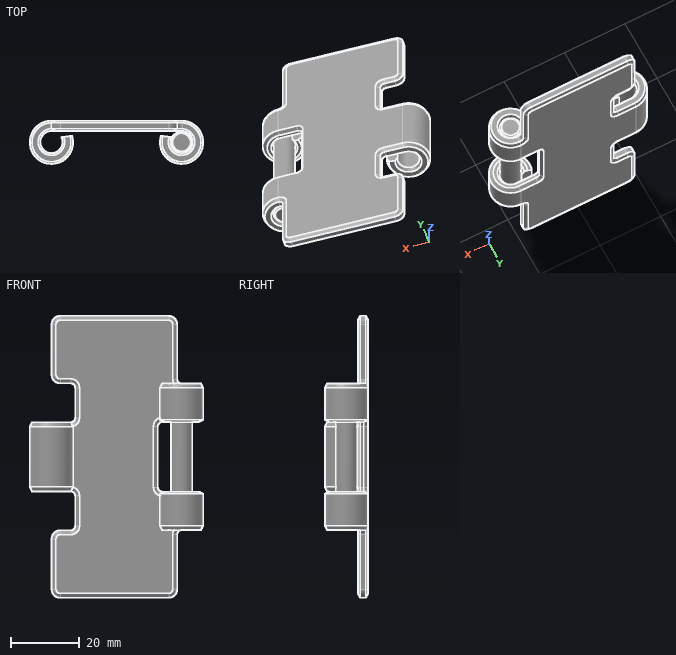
import cadquery as cq
import math

HEIGHT = 82.55
OVERALL_WIDTH = 50.8
CURL_RADIUS = 6.35
THICKNESS = 3.05
FRONT_Y = CURL_RADIUS - THICKNESS
AXIS_X = OVERALL_WIDTH / 2 - CURL_RADIUS

BORE_RADIUS = 3.2
BORE_Y = FRONT_Y - BORE_RADIUS

LEFT_EDGE_X = -AXIS_X
INNER_FILLET = 1.2
OUTER_FILLET = 2.6
RIGHT_EDGE_X = AXIS_X - INNER_FILLET
NOTCH_X = 12.1
NOTCH_Z = 21.5
SPLIT_Z = 10.15

TAIL_END_AXIS_Y = 1.15
TAIL_END_OUTER_Y = 2.0

EDGE_CHAMFER = (1.3, 0.7)
SLOT_BACK_CHAMFER = EDGE_CHAMFER[::-1]

PIN_RADIUS = BORE_RADIUS - BORE_Y
PIN_LENGTH = 41.6
PIN_CHAMFER = 0.5

TAB_EXCESS = 4.1


def facing_plane(y, normal_y):
    """Plane at the given Y with X across, whose extrusions run along normal_y."""
    return cq.Workplane(cq.Plane(origin=(0, y, 0), xDir=(1, 0, 0), normal=(0, normal_y, 0)))


def round_corners(sketch, corners, radius):
    """Fillet the sketch vertices at the given corners."""
    for x, z in corners:
        nearest = cq.selectors.NearestToPointSelector((x, z, 0))
        sketch = sketch.reset().vertices(nearest).fillet(radius)
    return sketch.reset()


def mirrored(points):
    """The points followed by their mirror images in Z, in reverse order."""
    return points + [(x, -z) for x, z in reversed(points)]


def leaf_outline():
    """Outline of the flat leaf, with tabs that run past both tangent lines."""
    top_z = HEIGHT / 2
    tab_x = AXIS_X + TAB_EXCESS
    left_tab = (-tab_x, SPLIT_Z)
    notch_inner = [(-NOTCH_X, SPLIT_Z), (-NOTCH_X, NOTCH_Z)]
    notch_outer = (LEFT_EDGE_X, NOTCH_Z)
    top = [(LEFT_EDGE_X, top_z), (RIGHT_EDGE_X, top_z)]
    right_inner = (RIGHT_EDGE_X, NOTCH_Z)
    right_tab = (tab_x, NOTCH_Z)

    points = mirrored([left_tab, *notch_inner, notch_outer, *top, right_inner, right_tab])
    sketch = cq.Sketch().polygon(points + points[:1])
    sketch = round_corners(sketch, mirrored([notch_outer, *top]), OUTER_FILLET)
    return round_corners(sketch, mirrored([*notch_inner, right_inner]), INNER_FILLET)


def slot_outline():
    """Outline of the slot between the two right-hand knuckles."""
    slot_end_x = AXIS_X + TAB_EXCESS
    inner = (NOTCH_X, SPLIT_Z)
    points = mirrored([inner, (slot_end_x, SPLIT_Z)])
    sketch = cq.Sketch().polygon(points + points[:1])
    return round_corners(sketch, mirrored([inner]), INNER_FILLET)


def straight_and_sloped(outline, chamfers, slope_sign):
    """Solid through the leaf thickness whose walls slope near both faces.

    chamfers holds (run, depth) for the front and the back face. A slope_sign of
    +1 narrows the solid towards the faces, -1 widens it.
    """
    (front_run, front_depth), (back_run, back_depth) = chamfers
    front_y = FRONT_Y + front_depth
    back_y = CURL_RADIUS - back_depth
    front_taper = slope_sign * math.degrees(math.atan2(front_run, front_depth))
    back_taper = slope_sign * math.degrees(math.atan2(back_run, back_depth))
    middle = facing_plane(back_y, -1).placeSketch(outline).extrude(back_y - front_y)
    front = facing_plane(front_y, -1).placeSketch(outline).extrude(front_depth, taper=front_taper)
    back = facing_plane(back_y, 1).placeSketch(outline).extrude(back_depth, taper=back_taper)
    return middle.union(front).union(back)


def flat_leaf():
    """The flat sheet, trimmed where the curls begin."""
    sheet = straight_and_sloped(leaf_outline(), (EDGE_CHAMFER, EDGE_CHAMFER), 1)
    slot = straight_and_sloped(slot_outline(), (EDGE_CHAMFER, SLOT_BACK_CHAMFER), -1)
    trim = cq.Workplane().box(2 * AXIS_X, 2 * CURL_RADIUS, HEIGHT)
    return sheet.cut(slot).intersect(trim)


def turned(side, axis_y, profile):
    """Solid of revolution about a hinge axis from (radius, z) points."""
    axis = cq.Workplane("XZ", origin=(side * AXIS_X, axis_y, 0))
    return axis.polyline(profile).close().revolve(360, (0, 0, 0), (0, 1, 0))


def flared_bore(side, low_z, high_z):
    """Cutter for the bore of a curl, widened at both ends."""
    run, depth = EDGE_CHAMFER
    return turned(side, BORE_Y, [
        (0, low_z), (BORE_RADIUS + depth, low_z), (BORE_RADIUS, low_z + run),
        (BORE_RADIUS, high_z - run), (BORE_RADIUS + depth, high_z), (0, high_z),
    ])


def curl_opening(side):
    """Cutter for the gap between the curl tail and the tangent line of the leaf."""
    axis_x = side * AXIS_X
    inner_x = side * (AXIS_X - CURL_RADIUS)
    corners = [
        (axis_x, TAIL_END_AXIS_Y), (inner_x, TAIL_END_OUTER_Y),
        (inner_x, CURL_RADIUS), (axis_x, CURL_RADIUS),
    ]
    return cq.Workplane("XY").polyline(corners).close().extrude(HEIGHT / 2, both=True)


def curl(side, low_z, high_z, low_chamfer, high_chamfer):
    """Rolled knuckle on the given side (-1 left, +1 right) between two heights.

    The two chamfers are those of its lower and upper outer edges.
    """
    low_run, low_depth = low_chamfer
    high_run, high_depth = high_chamfer
    barrel = turned(side, 0, [
        (0, low_z), (CURL_RADIUS - low_depth, low_z), (CURL_RADIUS, low_z + low_run),
        (CURL_RADIUS, high_z - high_run), (CURL_RADIUS - high_depth, high_z), (0, high_z),
    ])
    return barrel.cut(flared_bore(side, low_z, high_z)).cut(curl_opening(side))


def make_leaf():
    """Sheet with one knuckle rolled on the left and two on the right."""
    leaf = flat_leaf()
    leaf = leaf.union(curl(-1, -SPLIT_Z, SPLIT_Z, EDGE_CHAMFER, EDGE_CHAMFER))
    leaf = leaf.union(curl(1, SPLIT_Z, NOTCH_Z, SLOT_BACK_CHAMFER, EDGE_CHAMFER))
    return leaf.union(curl(1, -NOTCH_Z, -SPLIT_Z, EDGE_CHAMFER, SLOT_BACK_CHAMFER))


def make_pin():
    """Round pin held in the two right-hand knuckles."""
    return (cq.Workplane("XY", origin=(AXIS_X, 0, -PIN_LENGTH / 2))
            .circle(PIN_RADIUS).extrude(PIN_LENGTH)
            .edges().chamfer(PIN_CHAMFER))


leaf = make_leaf()
pin = make_pin()
result = cq.Compound.makeCompound([leaf.solids().val(), pin.val()])